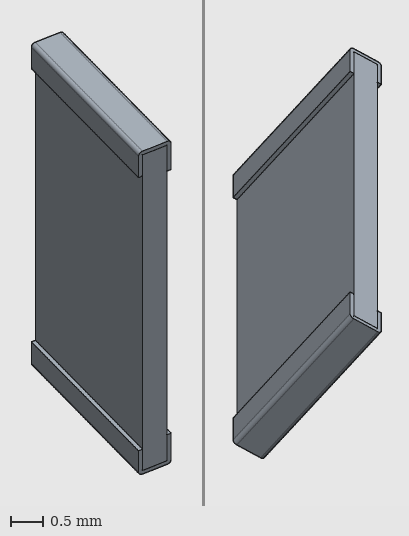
import cadquery as cq

width = 3.15
thickness = 0.6
height = 6.5

substrate_thickness = 0.45

front_lap = 0.5
back_lap = 0.6
edge_radius = 0.07
metal = (thickness - substrate_thickness) / 2

substrate_height = height - 2 * metal


def make_substrate():
    return cq.Workplane("XY").box(width, substrate_thickness, substrate_height)


def make_terminal(end):
    """Cap on the top end (end = 1) or the bottom end (end = -1), extruded along X."""
    outer_y = thickness / 2
    inner_y = substrate_thickness / 2
    outer_z = end * height / 2
    inner_z = end * substrate_height / 2
    front_z = end * (height / 2 - front_lap)
    back_z = end * (height / 2 - back_lap)
    cap = (
        cq.Workplane("YZ")
        .polyline([
            (-outer_y, front_z),
            (-outer_y, outer_z),
            (outer_y, outer_z),
            (outer_y, back_z),
            (inner_y, back_z),
            (inner_y, inner_z),
            (-inner_y, inner_z),
            (-inner_y, front_z),
        ])
        .close()
        .extrude(width / 2, both=True)
    )
    end_face = ">Z" if end > 0 else "<Z"
    return cap.faces(end_face).edges("|X").fillet(edge_radius)


substrate = make_substrate()
terminals = [make_terminal(end) for end in (1, -1)]

result = cq.Compound.makeCompound([substrate.val(), *[terminal.val() for terminal in terminals]])